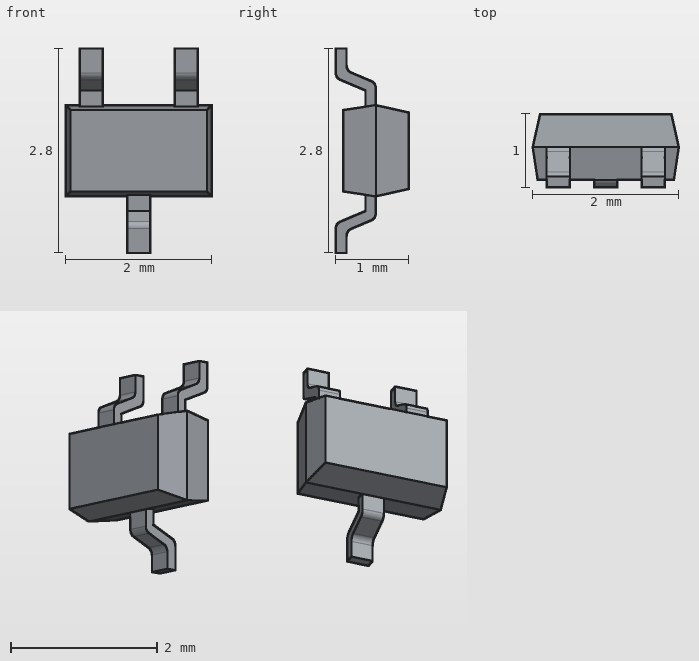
import cadquery as cq
import math

total_height = 2.8
total_depth = 1.0

housing_width = 2.0
housing_height = 1.25
housing_back_depth = 0.45
housing_front_depth = 0.448
back_inset = 0.1
front_inset = 0.067

lead_width = 0.315
root_thickness = 0.143
strip_thickness = 0.15
foot_inner_length = 0.305
slope_angle = math.radians(23.0)
bend_radius = 0.1
upper_lead_offset = 0.65

tip_z = total_height / 2
parting_half_height = housing_height / 2
foot_front_y = housing_back_depth - total_depth
foot_back_y = foot_front_y + strip_thickness


def make_frustum(depth, inset):
    """Half of the housing, from the parting plane to y = depth."""
    return (
        cq.Workplane("XZ")
        .rect(housing_width, housing_height)
        .workplane(offset=-depth)
        .rect(housing_width - 2 * inset, housing_height - 2 * inset)
        .loft(ruled=True)
    )


def make_housing():
    back_half = make_frustum(housing_back_depth, back_inset)
    front_half = make_frustum(-housing_front_depth, front_inset)
    return back_half.union(front_half)


def make_upper_lead(center_x):
    """A lead whose root ends on the housing's sloped upper face."""
    slope = math.tan(slope_angle)
    foot_corner_z = tip_z - foot_inner_length
    root_corner_z = foot_corner_z + foot_back_y * slope
    drop = strip_thickness / math.cos(slope_angle)
    foot_heel_z = foot_corner_z + strip_thickness * slope - drop
    root_inner_z = root_corner_z + root_thickness * slope - drop
    root_front_z = parting_half_height - front_inset * root_thickness / housing_front_depth

    lead = (
        cq.Workplane("YZ")
        .polyline([
            (0, parting_half_height),
            (0, root_corner_z),
            (foot_back_y, foot_corner_z),
            (foot_back_y, tip_z),
            (foot_front_y, tip_z),
            (foot_front_y, foot_heel_z),
            (-root_thickness, root_inner_z),
            (-root_thickness, root_front_z),
        ])
        .close()
        .extrude(lead_width / 2, both=True)
    )

    rounded_corners = [
        (0, root_corner_z),
        (foot_back_y, foot_corner_z),
        (foot_front_y, foot_heel_z),
    ]
    for y, z in rounded_corners:
        lead = lead.edges(cq.NearestToPointSelector((0, y, z))).fillet(bend_radius)
    return lead.translate((center_x, 0, 0))


def make_lower_lead():
    """The same strip mirrored below the housing, on its centre line."""
    return make_upper_lead(0).mirror("XY")


housing = make_housing()
upper_leads = [make_upper_lead(side * upper_lead_offset) for side in (-1, 1)]
lower_lead = make_lower_lead()

result = cq.Compound.makeCompound([
    housing.val(),
    *[lead.val() for lead in upper_leads],
    lower_lead.val(),
])